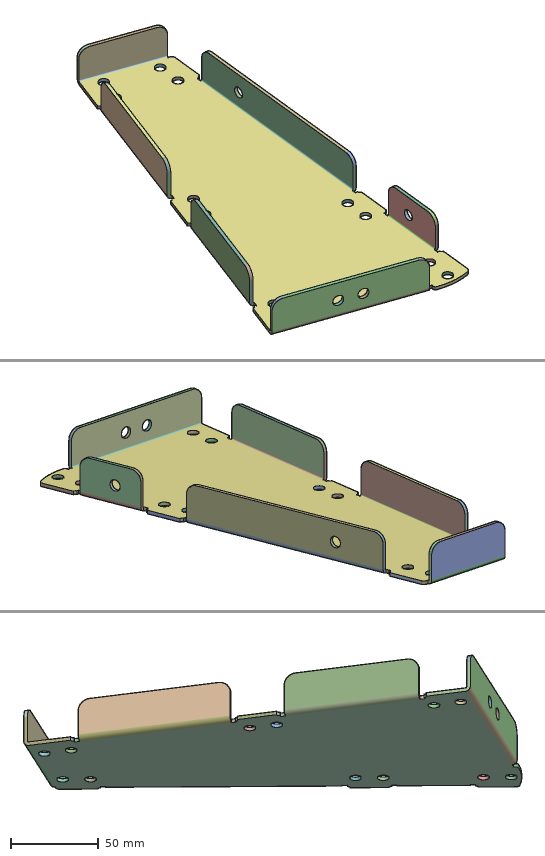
import cadquery as cq
import math

length = 266.5
height = 25.3
thickness = 2.26
bend_radius = 3.0
inner_bend_radius = bend_radius - thickness

slope_angle = 15.0
left_height = 58.5
right_height = left_height + length * math.tan(math.radians(slope_angle))
tip_x = 259.5
tip_y = left_height + tip_x * math.tan(math.radians(slope_angle))
nose_x = 266.0
nose_radius = 45.3
corner_rounding = 2.7
nose_rounding = 1.9

wall_corner_radius = 7.0
front_walls = [(32.5, 123.0), (155.3, 235.5)]
rear_walls = [(35.2, 77.3), (108.7, 244.5)]
left_wall_length = 56.2
right_wall_length = 99.7

relief_width = 3.0
tab_rounding = 1.5

plate_hole_diameter = 6.7
wall_hole_diameter = 7.0
hole_pitch = 16.0
hole_inset = 12.8
wall_hole_height = 12.5
front_hole_pairs = [16.8, 139.4, 249.0]
rear_hole_pairs = [19.5, 93.0, 261.0]
rear_wall_holes = [59.5, 211.5]


class Edge:
    """Bend edge walked counterclockwise, with the plate on its left side."""

    def __init__(self, x, y, heading):
        angle = math.radians(heading)
        along = (math.cos(angle), math.sin(angle), 0)
        outward = (math.sin(angle), -math.cos(angle), 0)
        self.floor = cq.Plane((x, y, 0), along, (0, 0, 1))
        self.side = cq.Plane((x, y, 0), along, outward)


front_edge = Edge(0, 0, 0)
right_edge = Edge(length, 0, 90)
rear_edge = Edge(length, right_height, 180 + slope_angle)
left_edge = Edge(0, left_wall_length, 270)


def base_plate():
    nose_y = right_wall_length + relief_width
    right_bend_x = length - bend_radius
    left_rear_y = left_height + bend_radius * math.tan(math.radians(slope_angle))
    plate = (
        cq.Workplane("XY")
        .moveTo(bend_radius, 0)
        .lineTo(right_bend_x, 0)
        .lineTo(right_bend_x, nose_y)
        .lineTo(nose_x, nose_y)
        .radiusArc((tip_x, tip_y), -nose_radius)
        .lineTo(bend_radius, left_rear_y)
        .close()
        .extrude(thickness)
    )
    roundings = [
        (nose_x, nose_y, nose_rounding),
        (tip_x, tip_y, corner_rounding),
        (bend_radius, left_rear_y, corner_rounding),
    ]
    for x, y, radius in roundings:
        corner = cq.NearestToPointSelector((x, y, thickness / 2))
        plate = plate.edges(corner).fillet(radius)
    return plate


def relief(edge, start, end):
    """Cutter that clears the bend and its end gaps and rounds the tabs beside it."""
    left = start - relief_width
    right = end + relief_width
    return (
        cq.Workplane(edge.floor)
        .moveTo(left - tab_rounding, 0)
        .radiusArc((left, tab_rounding), tab_rounding)
        .lineTo(left, bend_radius)
        .lineTo(right, bend_radius)
        .lineTo(right, tab_rounding)
        .radiusArc((right + tab_rounding, 0), tab_rounding)
        .close()
        .extrude(thickness)
    )


def wall(edge, start, end):
    """Upright wall with rounded top corners, joined to the plate by a bend."""
    slab = (
        cq.Workplane(edge.side)
        .moveTo(start, bend_radius)
        .lineTo(end, bend_radius)
        .lineTo(end, height)
        .lineTo(start, height)
        .close()
        .extrude(-thickness)
    )
    for end_x in (start, end):
        corner = edge.side.toWorldCoords((end_x, height, -thickness / 2))
        slab = slab.edges(cq.NearestToPointSelector(corner.toTuple())).fillet(wall_corner_radius)

    section_origin = edge.floor.toWorldCoords((start, 0, 0))
    section = cq.Plane(section_origin, edge.floor.yDir, edge.floor.xDir)
    bend_diagonal = math.sqrt(0.5)
    outer_mid = bend_radius - bend_radius * bend_diagonal
    inner_mid = bend_radius - inner_bend_radius * bend_diagonal
    bend = (
        cq.Workplane(section)
        .moveTo(0, bend_radius)
        .threePointArc((outer_mid, outer_mid), (bend_radius, 0))
        .lineTo(bend_radius, thickness)
        .threePointArc((inner_mid, inner_mid), (thickness, bend_radius))
        .close()
        .extrude(end - start)
    )
    return slab.union(bend)


def plate_holes(edge, pair_centers):
    half = hole_pitch / 2
    points = [(center + side, hole_inset) for center in pair_centers for side in (-half, half)]
    return cq.Workplane(edge.floor).pushPoints(points).circle(plate_hole_diameter / 2).extrude(thickness)


def wall_holes(edge, positions):
    points = [(position, wall_hole_height) for position in positions]
    return cq.Workplane(edge.side).pushPoints(points).circle(wall_hole_diameter / 2).extrude(-thickness)


walls = [(front_edge, start, end) for start, end in front_walls]
walls += [(rear_edge, start, end) for start, end in rear_walls]

result = base_plate()
for edge, start, end in walls:
    result = result.cut(relief(edge, start, end))

walls += [(left_edge, 0, left_wall_length), (right_edge, 0, right_wall_length)]
for edge, start, end in walls:
    result = result.union(wall(edge, start, end))

right_middle = right_wall_length / 2
right_wall_holes = [right_middle - hole_pitch / 2, right_middle + hole_pitch / 2]
result = (
    result
    .cut(plate_holes(front_edge, front_hole_pairs))
    .cut(plate_holes(rear_edge, rear_hole_pairs))
    .cut(wall_holes(rear_edge, rear_wall_holes))
    .cut(wall_holes(right_edge, right_wall_holes))
)